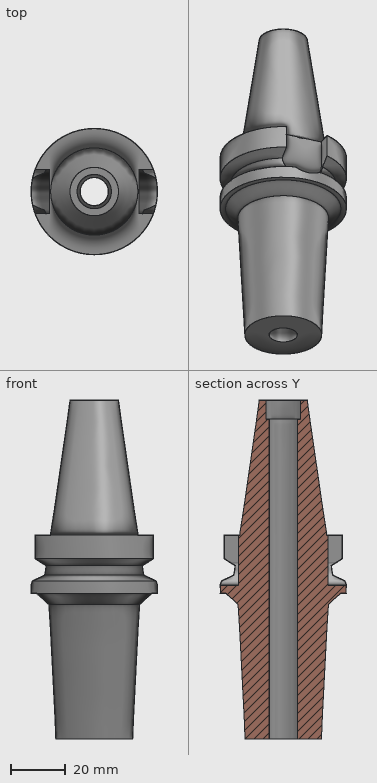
import cadquery as cq

OVERALL_LENGTH = 123.4
TAPER_LENGTH = 48.4
NOSE_Z = TAPER_LENGTH - OVERALL_LENGTH
FLANGE_TOP_Z = -0.75
UPPER_RIM_BOTTOM_Z = FLANGE_TOP_Z - 8.6
GROOVE_TOP_Z = FLANGE_TOP_Z - 11.1
GROOVE_BOTTOM_Z = FLANGE_TOP_Z - 14.6
LOWER_RIM_TOP_Z = FLANGE_TOP_Z - 16.7
LOWER_RIM_BOTTOM_Z = FLANGE_TOP_Z - 21.25
NOSE_TOP_Z = FLANGE_TOP_Z - 25.3

GAUGE_RADIUS = 31.75 / 2
TAPER_RATIO = 7 / 24
TAPER_TIP_RADIUS = GAUGE_RADIUS - TAPER_LENGTH * TAPER_RATIO / 2
FLANGE_RADIUS = 46.0 / 2
GROOVE_RADIUS = 38.6 / 2
FLANGE_CONE_RADIUS = 42.0 / 2
NOSE_TOP_RADIUS = 33.1 / 2
NOSE_END_RADIUS = 28.0 / 2

THROUGH_BORE_DIAMETER = 10.2
TAPER_BORE_DIAMETER = 12.5
TAPER_BORE_DEPTH = 7.0

SLOT_WIDTH = 16.1
SLOT_FLOOR_X = 16.3
SLOT_DEPTH = 18.25


def turned_body():
    """Taper, V-grooved flange and conical nose as one revolved outline."""
    outline = [
        (0, TAPER_LENGTH),
        (TAPER_TIP_RADIUS, TAPER_LENGTH),
        (GAUGE_RADIUS, 0),
        (GAUGE_RADIUS, FLANGE_TOP_Z),
        (FLANGE_RADIUS, FLANGE_TOP_Z),
        (FLANGE_RADIUS, UPPER_RIM_BOTTOM_Z),
        (GROOVE_RADIUS, GROOVE_TOP_Z),
        (GROOVE_RADIUS, GROOVE_BOTTOM_Z),
        (FLANGE_RADIUS, LOWER_RIM_TOP_Z),
        (FLANGE_RADIUS, LOWER_RIM_BOTTOM_Z),
        (FLANGE_CONE_RADIUS, LOWER_RIM_BOTTOM_Z),
        (NOSE_TOP_RADIUS, NOSE_TOP_Z),
        (NOSE_END_RADIUS, NOSE_Z),
        (0, NOSE_Z),
    ]
    return cq.Workplane("YZ").polyline(outline).close().revolve(360, (0, 0), (0, 1))


def stepped_bore():
    """Through bore with a wider counterbore entering from the small end of the taper."""
    through = (
        cq.Workplane("XY", origin=(0, 0, NOSE_Z))
        .circle(THROUGH_BORE_DIAMETER / 2)
        .extrude(OVERALL_LENGTH)
    )
    counterbore = (
        cq.Workplane("XY", origin=(0, 0, TAPER_LENGTH))
        .circle(TAPER_BORE_DIAMETER / 2)
        .extrude(-TAPER_BORE_DEPTH)
    )
    return through.union(counterbore)


def drive_slot(side):
    """Cutter for a round-bottomed slot, open at the flange top; side is +1 or -1 along X."""
    half_width = SLOT_WIDTH / 2
    slot_bottom_z = FLANGE_TOP_Z - SLOT_DEPTH
    arc_start_z = slot_bottom_z + half_width
    return (
        cq.Workplane("YZ", origin=(side * SLOT_FLOOR_X, 0, 0))
        .moveTo(-half_width, FLANGE_TOP_Z)
        .lineTo(-half_width, arc_start_z)
        .threePointArc((0, slot_bottom_z), (half_width, arc_start_z))
        .lineTo(half_width, FLANGE_TOP_Z)
        .close()
        .extrude(side * FLANGE_RADIUS)
    )


result = turned_body().cut(stepped_bore())
for slot_side in (1, -1):
    result = result.cut(drive_slot(slot_side))